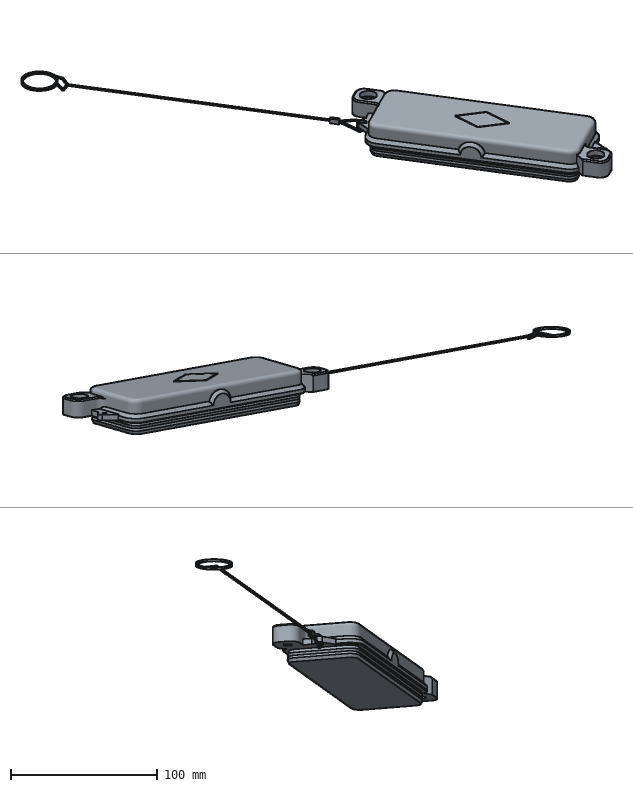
import cadquery as cq
import math

overall_length = 422.52
overall_height = 25.6
ear_span = 192.9
cover_length = 155.0
cover_width = 58.0

wall_inset = 2.4
lid_length = cover_length - 2 * wall_inset
lid_width = cover_width - 2 * wall_inset
lid_corner = 7.5
lid_edge_round = 3.0
lid_top = 25.1
flange_bottom = 8.7
flange_rim_top = 12.8
flange_slope_top = 14.8
flange_corner = lid_corner + wall_inset
flange_edge = 0.7

plug_length = 148.0
plug_width = 51.8
plug_corner = 7.0
lower_crest = 2.5
upper_crest = 6.3
valley_depth = 0.4
plug_end_taper = 1.0

window_radius = 7.4
window_base = 12.0
window_flare = 2.5

ear_top = 21.2
ear_width = 19.2
ear_corner = 6.4
ear_edge = 1.0
ear_blend = 4.6
ear_taper_start = 79.5
ear_root_angle = 35
bolt_x = 86.2
bolt_y = 19.6
bolt_hole = 5.5
bolt_seat = 8.0
bolt_recess = 11.8
seat_depth = 6.5
recess_depth = 4.0

lug_tip_x = 86.0
lug_tip_radius = 1.9
lug_shelf_x = 83.3
lug_hole_x = 82.4
lug_hole = 3.0
lug_shoulder_y = 3.2
lug_foot_y = -12.0

cable_diameter = 1.4
lug_contact = 0.2
loop_top_reach = 3.8
loop_bottom_reach = 7.6
loop_sag = 2.9
cable_y = -3.3
cable_z = (flange_bottom + flange_rim_top) / 2
ferrule_left = -107.0
ferrule_right = -100.5
ferrule_width = 2.6
ferrule_height = 3.6
ring_outer_radius = 12.6
ring_wall = 1.2
ring_band = 1.5
ring_x = ear_span / 2 - overall_length + ring_outer_radius
cable_end_x = ring_x + 20.0
eye_strands = (
    (55, 15.5, 3.4, 2.5),
    (0, 17.5, -3.0, -2.5),
)

diamond_half_length = 19.2
diamond_half_width = 11.0


def rounded_block(length, width, corner, bottom, top):
    block = cq.Workplane("XY").workplane(offset=bottom).rect(length, width)
    return block.extrude(top - bottom).edges("|Z").fillet(corner)


def tapered_block(length, width, corner, bottom, height, inset):
    """Rounded rectangle that shrinks by `inset` on every side over its height."""
    sketch = cq.Sketch().rect(length, width).vertices().fillet(corner)
    slope = math.degrees(math.atan2(inset, abs(height)))
    return cq.Workplane("XY").workplane(offset=bottom).placeSketch(sketch).extrude(height, taper=slope)


def both_ends(feature):
    """The feature and its copy turned half a turn about Z."""
    return feature.union(feature.rotate((0, 0, 0), (0, 0, 1), 180))


def make_cover():
    lid = rounded_block(lid_length, lid_width, lid_corner, flange_bottom, lid_top)
    lid = lid.faces(">Z").edges().fillet(lid_edge_round)
    rim = rounded_block(cover_length, cover_width, flange_corner, flange_bottom, flange_rim_top)
    rim = rim.faces("<Z or >Z").edges().chamfer(flange_edge)
    shoulder = tapered_block(
        cover_length - 2 * flange_edge,
        cover_width - 2 * flange_edge,
        flange_corner - flange_edge,
        flange_rim_top,
        flange_slope_top - flange_rim_top,
        wall_inset - flange_edge,
    )
    return lid.union(rim).union(shoulder)


def make_plug():
    valley_gap = (upper_crest - lower_crest) / 2
    slopes = (
        (lower_crest, -lower_crest, plug_end_taper),
        (lower_crest, valley_gap, valley_depth),
        (upper_crest, -valley_gap, valley_depth),
        (upper_crest, flange_bottom - upper_crest, plug_end_taper),
    )
    plug = cq.Workplane("XY")
    for crest, height, inset in slopes:
        plug = plug.union(tapered_block(plug_length, plug_width, plug_corner, crest, height, inset))
    return plug


def make_window():
    """Flared half-round boss from the lid wall out to the flange rim."""
    wall_y = lid_width / 2
    cone = cq.Solid.makeCone(
        window_radius + window_flare,
        window_radius,
        wall_inset,
        pnt=cq.Vector(0, -wall_y, window_base),
        dir=cq.Vector(0, -1, 0),
    )
    upper_half = cq.Workplane("XY").workplane(offset=window_base).rect(cover_length, 2 * cover_width)
    return cq.Workplane(cone).intersect(upper_half.extrude(overall_height))


def make_ear():
    tip_x = -ear_span / 2
    outer_y = cover_width / 2
    inner_y = outer_y - ear_width
    wall_x = -lid_length / 2
    root_x = wall_x + lid_corner
    root_angle = math.radians(ear_root_angle)
    root_point = (
        root_x - lid_corner * math.cos(root_angle),
        lid_width / 2 - lid_corner * (1 - math.sin(root_angle)),
    )
    diagonal = math.sqrt(0.5)
    blend_mid = (
        wall_x - ear_blend * (1 - diagonal),
        inner_y - ear_blend * (1 - diagonal),
    )
    ear = (
        cq.Workplane("XY")
        .workplane(offset=flange_bottom)
        .moveTo(root_x, root_point[1])
        .lineTo(*root_point)
        .lineTo(-ear_taper_start, outer_y)
        .lineTo(tip_x, outer_y)
        .lineTo(tip_x, inner_y)
        .lineTo(wall_x - ear_blend, inner_y)
        .threePointArc(blend_mid, (wall_x, inner_y - ear_blend))
        .lineTo(root_x, inner_y - ear_blend)
        .close()
        .extrude(ear_top - flange_bottom)
    )
    ear = ear.edges("|Z and <X").fillet(ear_corner)
    return ear.faces(">Z").edges("<X").chamfer(ear_edge)


def make_bolt_cut():
    def drill(diameter, bottom):
        tool = cq.Workplane("XY").workplane(offset=bottom).center(-bolt_x, bolt_y)
        return tool.circle(diameter / 2).extrude(overall_height - bottom)

    hole = drill(bolt_hole, 0)
    seat = drill(bolt_seat, ear_top - seat_depth)
    recess = drill(bolt_recess, ear_top - recess_depth)
    return hole.union(seat).union(recess)


def make_lug():
    root_x = -lid_length / 2
    foot_x = -cover_length / 2
    thickness = flange_rim_top - flange_bottom
    plate = cq.Workplane("XY").workplane(offset=flange_bottom)
    outline = [
        (root_x, bolt_y),
        (-lug_shelf_x, bolt_y),
        (-lug_shelf_x, lug_shoulder_y),
        (-lug_tip_x, cable_y + lug_tip_radius),
        (-lug_tip_x, cable_y - lug_tip_radius),
        (foot_x, lug_foot_y),
        (root_x, lug_foot_y),
    ]
    lug = plate.polyline(outline).close().extrude(thickness)
    tip = plate.center(-lug_tip_x, cable_y).circle(lug_tip_radius).extrude(thickness)
    hole = plate.center(-lug_hole_x, cable_y).circle(lug_hole / 2).extrude(thickness)
    return lug.union(tip).cut(hole)


def make_strand(points):
    """Round cable through the given points, with ball-shaped bends."""
    radius = cable_diameter / 2
    strand = cq.Workplane("XY")
    for start, end in zip(points, points[1:]):
        origin = cq.Vector(*start)
        run = cq.Vector(*end) - origin
        rod = cq.Solid.makeCylinder(radius, run.Length, origin, run)
        ball = cq.Workplane("XY").sphere(radius).translate(end)
        strand = strand.union(cq.Workplane(rod)).union(ball)
    return strand


def make_cable():
    ferrule_x = (ferrule_left + ferrule_right) / 2
    return make_strand([(cable_end_x, cable_y, cable_z), (ferrule_x, cable_y, cable_z)])


def make_ferrule():
    box = cq.Workplane("XY").box(ferrule_right - ferrule_left, ferrule_width, ferrule_height)
    return box.translate(((ferrule_left + ferrule_right) / 2, cable_y, cable_z))


def make_lug_loop():
    """Cable eye from the ferrule over the lug, down its hole and back underneath."""
    above = flange_rim_top + cable_diameter / 2 - lug_contact
    below = flange_bottom - cable_diameter / 2 + lug_contact
    return make_strand(
        [
            (ferrule_right, cable_y, cable_z),
            (-lug_tip_x - loop_top_reach, cable_y, above),
            (-lug_hole_x, cable_y, above),
            (-lug_hole_x, cable_y, below),
            (-lug_tip_x, cable_y, below - loop_sag),
            (-lug_tip_x - loop_bottom_reach, cable_y, below),
            (ferrule_right, cable_y, cable_z),
        ]
    )


def make_ring():
    ring = cq.Workplane("XY").circle(ring_outer_radius).circle(ring_outer_radius - ring_wall)
    return ring.extrude(ring_band / 2, both=True).translate((ring_x, cable_y, cable_z))


def make_ring_eye():
    """Two bowed strands that tie the end of the cable to the ring."""
    wire_radius = ring_outer_radius - ring_wall / 2
    strands = cq.Workplane("XY")
    for angle, bow_x, bow_y, bow_z in eye_strands:
        on_ring = (
            ring_x + wire_radius * math.cos(math.radians(angle)),
            cable_y + wire_radius * math.sin(math.radians(angle)),
            cable_z,
        )
        bow = (ring_x + bow_x, cable_y + bow_y, cable_z + bow_z)
        strands = strands.union(make_strand([on_ring, bow, (cable_end_x, cable_y, cable_z)]))
    return strands


def make_diamond():
    corners = [
        (diamond_half_length, 0),
        (0, diamond_half_width),
        (-diamond_half_length, 0),
        (0, -diamond_half_width),
    ]
    plate = cq.Workplane("XY").workplane(offset=lid_top).polyline(corners).close()
    return plate.extrude(overall_height - lid_top)


cover = make_cover().union(make_plug())
cover = cover.union(both_ends(make_window())).union(both_ends(make_ear()))
cover = cover.union(both_ends(make_lug())).union(make_diamond())
cover = cover.cut(both_ends(make_bolt_cut()))

tether = make_cable().union(make_ferrule()).union(make_lug_loop())
tether = tether.union(make_ring()).union(make_ring_eye())

result = cover.union(tether)